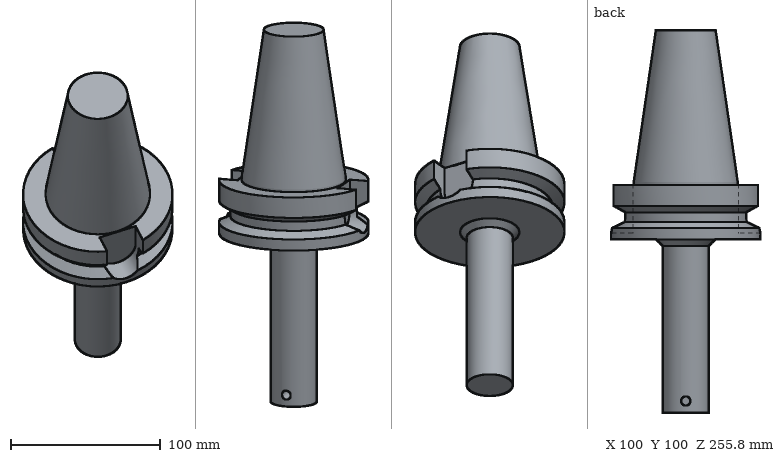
import cadquery as cq

total_height = 255.8
taper_length = 101.8
gauge_height = total_height - taper_length
neck_height = 1.5
flange_top = gauge_height - neck_height
flange_bottom = 116.0

gauge_diameter = 69.8
taper_ratio = 7 / 24
gauge_radius = gauge_diameter / 2
tip_radius = gauge_radius - taper_length * taper_ratio / 2

flange_radius = 100.0 / 2
groove_radius = 85.0 / 2
lower_rim_height = 7.7
lower_flank_height = 4.0
groove_floor_height = 6.5
upper_flank_height = 4.3
groove_lower_edge = flange_bottom + lower_rim_height
groove_floor_bottom = groove_lower_edge + lower_flank_height
groove_floor_top = groove_floor_bottom + groove_floor_height
groove_upper_edge = groove_floor_top + upper_flank_height

shank_radius = 31.0 / 2
collar_height = 4.3
collar_radius = shank_radius + collar_height

slot_width = 25.8
slot_bottom = 120.2
slot_floor_distance = 35.3
slot_arc_center = slot_bottom + slot_width / 2

side_hole_diameter = 6.1
side_hole_height = 8.0


def make_body():
    """Revolve the half profile of the holder about Z."""
    profile = [
        (0, 0),
        (shank_radius, 0),
        (shank_radius, flange_bottom - collar_height),
        (collar_radius, flange_bottom),
        (flange_radius, flange_bottom),
        (flange_radius, groove_lower_edge),
        (groove_radius, groove_floor_bottom),
        (groove_radius, groove_floor_top),
        (flange_radius, groove_upper_edge),
        (flange_radius, flange_top),
        (gauge_radius, flange_top),
        (gauge_radius, gauge_height),
        (tip_radius, total_height),
        (0, total_height),
    ]
    return cq.Workplane("XZ").polyline(profile).close().revolve(360, (0, 0), (0, 1))


def make_drive_slot(side):
    """Cutter for one drive slot; side is +1 for +X or -1 for -X."""
    half_width = slot_width / 2
    return (
        cq.Workplane("YZ", origin=(side * slot_floor_distance, 0, 0))
        .moveTo(-half_width, gauge_height)
        .lineTo(-half_width, slot_arc_center)
        .threePointArc((0, slot_bottom), (half_width, slot_arc_center))
        .lineTo(half_width, gauge_height)
        .close()
        .extrude(side * flange_radius)
    )


def make_side_hole():
    """Cutter for the radial hole near the free end of the shank."""
    return (
        cq.Workplane("XZ", origin=(0, 0, side_hole_height))
        .circle(side_hole_diameter / 2)
        .extrude(-2 * shank_radius)
    )


result = make_body()
for side in (-1, 1):
    result = result.cut(make_drive_slot(side))
result = result.cut(make_side_hole())